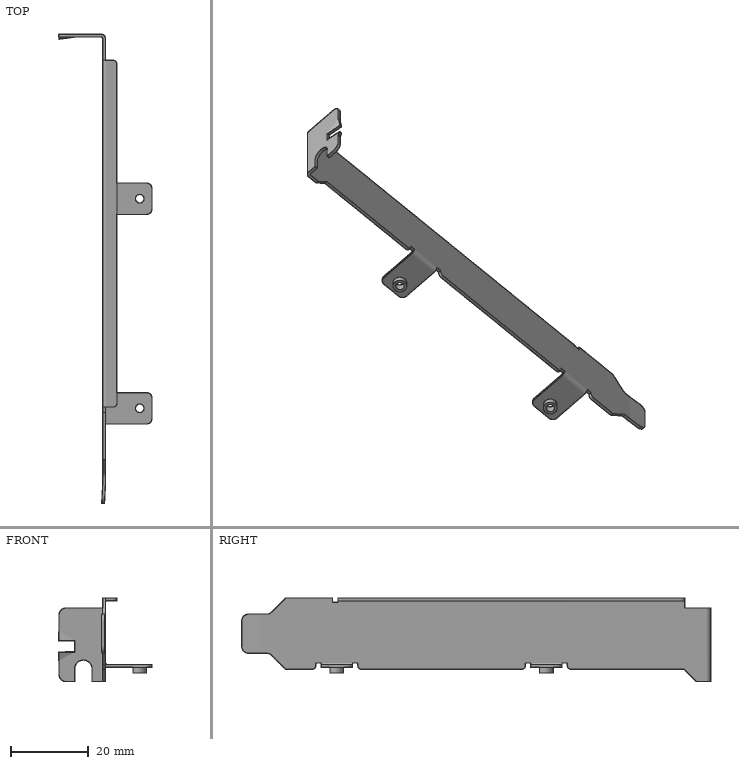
import cadquery as cq
import math


thickness = 0.78
inner_bend = 0.32
outer_bend = inner_bend + thickness
end_corner_radius = 1.9

diagonal = math.sqrt(0.5)

total_length = 120.93
total_height = 21.59
plate_width = 18.42
plate_bottom = total_height - plate_width
plate_middle = total_height - plate_width / 2
foot_length = 3.75
shoulder_start = 109.6

tongue_width = 10.19
tongue_bend_start = 115.6
tongue_angle = 2.9
tongue_bend_radius = 7.0
shoulder_end = shoulder_start + (plate_width - tongue_width) / 2
shoulder_fillet = 1.5

flange_start = 6.7
flange_end = 96.1
flange_relief_end = 97.5
flange_reach = 3.7
flange_corner_radius = 0.95

lug_centers = (42.4, 96.4)
lug_width = 8.13
lug_reach = 12.75
lug_bottom = 3.7
lug_corner_radius = 1.4
lug_hole_x = 9.57
pin_diameter = 3.56
pin_hole_diameter = 2.16
pin_length = 1.5
lug_relief_width = 10.75
lug_relief_fillet = 1.0

tab_reach = 11.27
tab_height = 19.05
screw_slot_width = 4.42
screw_slot_top = 5.55
screw_slot_x = -4.95
notch_depth = 4.05
notch_width = 3.05
notch_z = 9.1
lance_height = 2.25
lance_angle = 16.0


def make_strip():
    """Bent strip of tab, plate and tongue as seen along Z, extruded over the full height."""
    slope = math.radians(tongue_angle)

    def bend_point(radius, angle):
        """Point on the tongue bend, whose center lies on the -X side of the plate."""
        return (
            -tongue_bend_radius + radius * math.cos(angle),
            -tongue_bend_start - radius * math.sin(angle),
        )

    outer_radius = tongue_bend_radius + thickness
    outer_middle = bend_point(outer_radius, slope / 2)
    outer_end = bend_point(outer_radius, slope)
    inner_middle = bend_point(tongue_bend_radius, slope / 2)
    inner_end = bend_point(tongue_bend_radius, slope)
    overrun_y = -total_length - thickness
    outer_tip = (outer_end[0] + (overrun_y - outer_end[1]) * math.tan(slope), overrun_y)
    inner_tip = (inner_end[0] + (overrun_y - inner_end[1]) * math.tan(slope), overrun_y)
    bend_x = thickness - outer_bend
    return (
        cq.Workplane("XY")
        .moveTo(-tab_reach, 0)
        .lineTo(bend_x, 0)
        .threePointArc(
            (bend_x + outer_bend * diagonal, -outer_bend + outer_bend * diagonal),
            (thickness, -outer_bend),
        )
        .lineTo(thickness, -tongue_bend_start)
        .threePointArc(outer_middle, outer_end)
        .lineTo(*outer_tip)
        .lineTo(*inner_tip)
        .lineTo(*inner_end)
        .threePointArc(inner_middle, (0, -tongue_bend_start))
        .lineTo(0, -outer_bend)
        .threePointArc(
            (bend_x + inner_bend * diagonal, -outer_bend + inner_bend * diagonal),
            (bend_x, -thickness),
        )
        .lineTo(-tab_reach, -thickness)
        .close()
        .extrude(total_height)
    )


def make_outline():
    """Side outline of the bracket in the YZ plane, wide enough to cover the whole strip."""
    tongue_bottom = plate_middle - tongue_width / 2
    tongue_top = plate_middle + tongue_width / 2
    bend_line = total_height - outer_bend
    cover = 2 * tab_reach
    outline = (
        cq.Workplane("YZ", origin=(-cover, 0, 0))
        .polyline([
            (0, 0),
            (-foot_length, 0),
            (-foot_length - plate_bottom, plate_bottom),
            (-shoulder_start, plate_bottom),
            (-shoulder_end, tongue_bottom),
            (-total_length, tongue_bottom),
            (-total_length, tongue_top),
            (-shoulder_end, tongue_top),
            (-shoulder_start, total_height),
            (-flange_relief_end, total_height),
            (-flange_relief_end, bend_line),
            (-flange_start, bend_line),
            (-flange_start, tab_height),
            (0, tab_height),
        ])
        .close()
        .extrude(2 * cover)
    )
    outline = outline.edges("|X and <Y").fillet(end_corner_radius)
    shoulder = cq.selectors.BoxSelector(
        (-cover, -shoulder_end - shoulder_fillet, plate_bottom),
        (cover, -shoulder_end + shoulder_fillet, total_height),
    )
    return outline.edges("|X").edges(shoulder).fillet(shoulder_fillet)


def make_bent_lip(y_start, y_end, reach, outer_z, side, radius):
    """Lip that leaves the plate through a bend toward +X.

    The outside of the lip lies at outer_z; side is +1 for a bend at the upper edge of
    the plate and -1 for one at the lower edge.
    """
    center_z = outer_z - side * outer_bend
    lip = (
        cq.Workplane("XZ", origin=(0, -y_start, 0))
        .moveTo(0, center_z)
        .threePointArc(
            (outer_bend * (1 - diagonal), center_z + side * outer_bend * diagonal),
            (outer_bend, outer_z),
        )
        .lineTo(reach, outer_z)
        .lineTo(reach, outer_z - side * thickness)
        .lineTo(outer_bend, outer_z - side * thickness)
        .threePointArc(
            (outer_bend - inner_bend * diagonal, center_z + side * inner_bend * diagonal),
            (thickness, center_z),
        )
        .close()
        .extrude(y_end - y_start)
    )
    return lip.edges("|Z and >X").fillet(radius)


def cut_lug_relief(body, center):
    """Opening in the lower plate edge that lets a lug bend out, with rounded mouth corners."""
    relief_top = lug_bottom + outer_bend
    half = lug_relief_width / 2
    relief_height = relief_top - plate_bottom
    opening = cq.Workplane("XY").box(
        thickness, lug_relief_width, relief_height, centered=(False, True, False)
    ).translate((0, -center, plate_bottom))
    body = body.cut(opening)
    mouth = cq.selectors.BoxSelector(
        (-thickness, -center - half - lug_relief_fillet, plate_bottom - lug_relief_fillet),
        (2 * thickness, -center + half + lug_relief_fillet, plate_bottom + lug_relief_fillet),
    )
    return body.edges("|X").edges(mouth).fillet(lug_relief_fillet)


def add_lug(body, center):
    """Board lug with its hollow pin pointing down."""
    lug = make_bent_lip(
        center - lug_width / 2, center + lug_width / 2, lug_reach, lug_bottom, -1, lug_corner_radius
    )
    pin_plane = cq.Workplane("XY", origin=(lug_hole_x, -center, lug_bottom - pin_length))
    pin = pin_plane.circle(pin_diameter / 2).extrude(pin_length)
    bore = pin_plane.circle(pin_hole_diameter / 2).extrude(pin_length + thickness)
    return body.union(lug).union(pin).cut(bore)


def make_lance(side):
    """Triangular corner beside the notch, folded toward -Y about its sloping edge."""
    notch_edge = notch_z + side * notch_width / 2
    hinge_inner = cq.Vector(-tab_reach + notch_depth, -thickness, notch_edge)
    hinge_outer = cq.Vector(-tab_reach, -thickness, notch_edge + side * lance_height)
    free_corner = cq.Vector(-tab_reach, -thickness, notch_edge)

    through = cq.Vector(0, thickness, 0)
    flat = cq.Solid.extrudeLinear(
        cq.Wire.makePolygon([hinge_inner, hinge_outer, free_corner], close=True), [], through
    )
    lance = flat.rotate(hinge_inner, hinge_outer, side * lance_angle)

    def wedge_end(hinge_point):
        """Outline of the thin wedge that the fold opens between tab and lance."""
        behind = hinge_point + through
        turned = cq.Vertex.makeVertex(*behind.toTuple()).rotate(
            hinge_inner, hinge_outer, side * lance_angle
        )
        return cq.Wire.makePolygon([hinge_point, behind, turned.Center()], close=True)

    wedge = cq.Solid.makeLoft([wedge_end(hinge_inner), wedge_end(hinge_outer)], True)
    return cq.Workplane(lance).union(cq.Workplane(wedge))


def shape_tab(body):
    """Rounded tab corners, screw slot, and notch flanked by two lances."""
    body = body.edges("|Y and <X").fillet(end_corner_radius)
    slot_radius = screw_slot_width / 2
    slot_shoulder = screw_slot_top - slot_radius
    slot = (
        cq.Workplane("XZ")
        .moveTo(screw_slot_x - slot_radius, 0)
        .lineTo(screw_slot_x - slot_radius, slot_shoulder)
        .threePointArc((screw_slot_x, screw_slot_top), (screw_slot_x + slot_radius, slot_shoulder))
        .lineTo(screw_slot_x + slot_radius, 0)
        .close()
        .extrude(thickness)
    )
    half = notch_width / 2
    notch = (
        cq.Workplane("XZ")
        .polyline([
            (-tab_reach, notch_z - half - lance_height),
            (-tab_reach + notch_depth, notch_z - half),
            (-tab_reach + notch_depth, notch_z + half),
            (-tab_reach, notch_z + half + lance_height),
        ])
        .close()
        .extrude(thickness)
    )
    body = body.cut(slot).cut(notch)
    for side in (1, -1):
        body = body.union(make_lance(side))
    return body


result = shape_tab(make_strip().intersect(make_outline()))
result = result.union(
    make_bent_lip(flange_start, flange_end, flange_reach, total_height, 1, flange_corner_radius)
)
for lug_center in lug_centers:
    result = cut_lug_relief(result, lug_center)
    result = add_lug(result, lug_center)